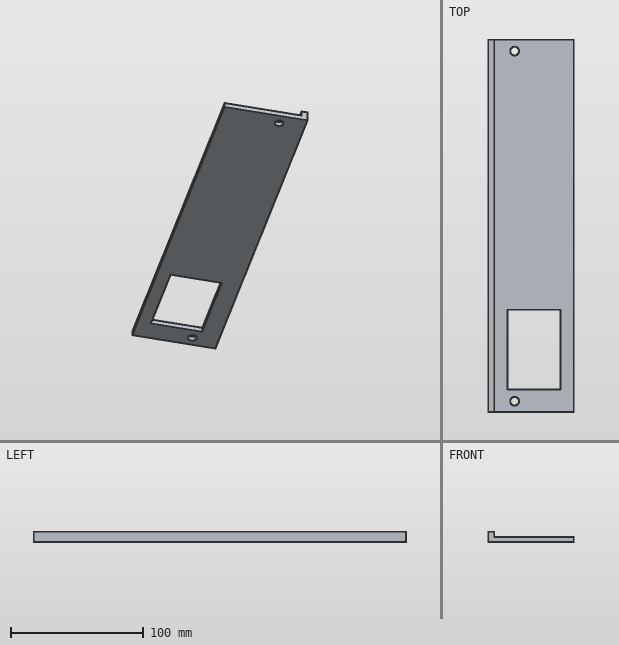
import cadquery as cq

width = 65.0
length = 282.0
height = 8.0

plate_thickness = 4.0
lip_width = 4.8

hole_diameter = 6.5
hole_from_lip_side = 20.0
hole_from_front_end = 8.2
hole_spacing = 265.0

window_width = 40.0
window_length = 60.0
window_from_lip_side = 14.7
window_from_front_end = 17.2


def box_at(x, y, size_x, size_y, size_z):
    """Box standing on the base plane with its low corner at (x, y)."""
    return cq.Workplane("XY").box(size_x, size_y, size_z, centered=False).translate((x, y, 0))


plate = box_at(0, 0, width, length, plate_thickness)
lip = box_at(0, 0, lip_width, length, height)

window = box_at(
    window_from_lip_side,
    window_from_front_end,
    window_width,
    window_length,
    plate_thickness,
)

hole_centers = [
    (hole_from_lip_side, hole_from_front_end),
    (hole_from_lip_side, hole_from_front_end + hole_spacing),
]
holes = (
    cq.Workplane("XY")
    .pushPoints(hole_centers)
    .circle(hole_diameter / 2)
    .extrude(plate_thickness)
)

result = plate.union(lip).cut(window).cut(holes)